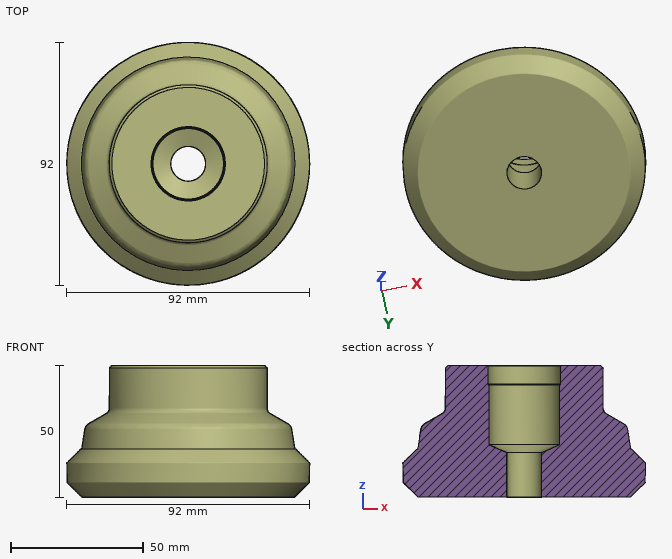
import cadquery as cq
import math

rim_radius = 46.0
height = 50.0

rim_bottom_radius = 40.2
rim_band_bottom_radius = 45.9
rim_band_bottom = 5.5
rim_band_top = 13.0
rim_top_radius = 40.7
rim_top = rim_band_top + rim_radius - rim_top_radius
rim_corner_fillet = 0.5

wall_base_radius = 40.4
wall_taper = math.radians(9)
cone_slope = math.radians(30)
shoulder_fillet = 3.1

neck_radius = 29.9
neck_bottom = 32.4
neck_chamfer = 1.0
neck_fillet = 2.0

bore_radius = 13.7
bore_chamfer = 0.4
bore_step_depth = 7.2
bore_step_height = 0.3
lower_bore_radius = 13.35
bore_depth = 30.0
floor_slope = math.radians(24)
hole_radius = 6.5


def shoulder_corner():
    """Radius and height where the tapered wall meets the sloping cone."""
    drop = math.tan(cone_slope)
    lean = math.tan(wall_taper)
    radius_at_neck_level = wall_base_radius - (neck_bottom - rim_top) * lean
    fall = (radius_at_neck_level - neck_radius) / (1 / drop - lean)
    return neck_radius + fall / drop, neck_bottom - fall


def round_circle(body, radius, z, fillet):
    """Fillet the circular edge that has the given radius and height."""
    tolerance = 0.01

    def is_wanted(edge):
        return abs(edge.radius() - radius) < tolerance and abs(edge.Center().z - z) < tolerance

    return body.edges("%CIRCLE").filter(is_wanted).fillet(fillet)


def outer_body():
    corner_radius, corner_z = shoulder_corner()
    outline = [
        (0, 0),
        (rim_bottom_radius, 0),
        (rim_band_bottom_radius, rim_band_bottom),
        (rim_radius, rim_band_top),
        (rim_top_radius, rim_top),
        (wall_base_radius, rim_top),
        (corner_radius, corner_z),
        (neck_radius, neck_bottom),
        (neck_radius, height - neck_chamfer),
        (neck_radius - neck_chamfer, height),
        (0, height),
    ]
    body = cq.Workplane("XZ").polyline(outline).close().revolve(360, (0, 0), (0, 1))
    roundings = [
        (rim_bottom_radius, 0, rim_corner_fillet),
        (rim_band_bottom_radius, rim_band_bottom, rim_corner_fillet),
        (rim_radius, rim_band_top, rim_corner_fillet),
        (rim_top_radius, rim_top, rim_corner_fillet),
        (corner_radius, corner_z, shoulder_fillet),
        (neck_radius, neck_bottom, neck_fillet),
    ]
    for radius, z, fillet in roundings:
        body = round_circle(body, radius, z, fillet)
    return body


def bore():
    step_z = height - bore_step_depth
    floor_z = height - bore_depth
    outline = [
        (0, 0),
        (hole_radius, 0),
        (hole_radius, floor_z - (lower_bore_radius - hole_radius) * math.tan(floor_slope)),
        (lower_bore_radius, floor_z),
        (lower_bore_radius, step_z - bore_step_height),
        (bore_radius, step_z),
        (bore_radius, height - bore_chamfer),
        (bore_radius + bore_chamfer, height),
        (0, height),
    ]
    return cq.Workplane("XZ").polyline(outline).close().revolve(360, (0, 0), (0, 1))


result = outer_body().cut(bore())